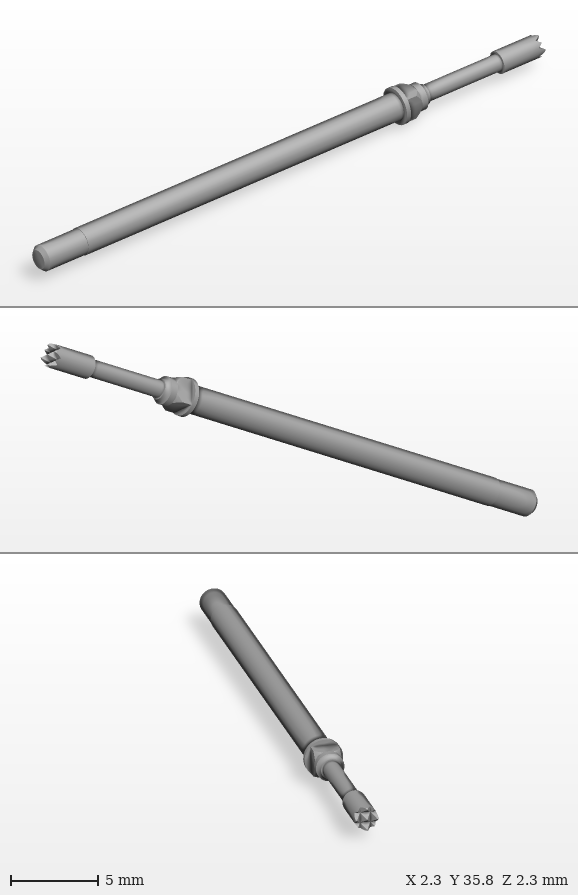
import cadquery as cq
import math


tail_diameter = 1.6
barrel_diameter = 1.7
flange_diameter = 2.3
lip_diameter = 1.25
stem_diameter = 1.05
head_diameter = 1.4

overall_length = 35.8
tail_length = 2.97
flange_rear = 25.5
flange_thickness = 0.3
flange_front = flange_rear + flange_thickness
square_length = 1.05
square_front = flange_front + square_length
lip_rear = 27.25
lip_length = 0.32
lip_front = lip_rear + lip_length
head_length = 3.0
head_rear = overall_length - head_length

tail_chamfer_radial = 0.2
tail_chamfer_length = 0.25

square_side = 1.58
square_cone_angle = 35.0

groove_pitch = 0.6
groove_depth = 0.5
grooves_per_direction = 4

tail_radius = tail_diameter / 2
barrel_radius = barrel_diameter / 2
flange_radius = flange_diameter / 2
lip_radius = lip_diameter / 2
stem_radius = stem_diameter / 2
head_radius = head_diameter / 2


def turn(half_profile):
    """Revolve a closed (station, radius) outline about the probe axis."""
    return half_profile.close().revolve(360, (0, 0, 0), (1, 0, 0))


def turned_body():
    """All round steps; the barrel narrows to the lip in a hollow curve that ends along the axis."""
    lip_drop = barrel_radius - lip_radius
    hollow_radius = (lip_length**2 + lip_drop**2) / (2 * lip_drop)
    half_sweep = math.asin(lip_length / hollow_radius) / 2
    hollow_middle = (
        lip_front - hollow_radius * math.sin(half_sweep),
        lip_radius + hollow_radius * (1 - math.cos(half_sweep)),
    )
    return turn(
        cq.Workplane("YZ")
        .moveTo(0, 0)
        .lineTo(0, tail_radius - tail_chamfer_radial)
        .lineTo(tail_chamfer_length, tail_radius)
        .lineTo(tail_length, tail_radius)
        .lineTo(tail_length, barrel_radius)
        .lineTo(flange_rear, barrel_radius)
        .lineTo(flange_rear, flange_radius)
        .lineTo(flange_front, flange_radius)
        .lineTo(flange_front, square_side / 2)
        .lineTo(square_front, square_side / 2)
        .lineTo(square_front, barrel_radius)
        .lineTo(lip_rear, barrel_radius)
        .threePointArc(hollow_middle, (lip_front, lip_radius))
        .lineTo(lip_front, stem_radius)
        .lineTo(head_rear, stem_radius)
        .lineTo(head_rear, head_radius)
        .lineTo(overall_length, head_radius)
        .lineTo(overall_length, 0)
    )


def press_fit_square():
    """Square block whose corners are limited by the flange diameter and the front cone."""
    cone_length = (flange_radius - barrel_radius) / math.tan(math.radians(square_cone_angle))
    block = (
        cq.Workplane("XZ", origin=(0, square_front, 0))
        .rect(square_side, square_side)
        .extrude(square_length)
    )
    envelope = turn(
        cq.Workplane("YZ")
        .moveTo(flange_front, 0)
        .lineTo(flange_front, flange_radius)
        .lineTo(square_front - cone_length, flange_radius)
        .lineTo(square_front, barrel_radius)
        .lineTo(square_front, 0)
    )
    return block.intersect(envelope)


def cut_crown(body):
    """Cut the V grooves across the head, first along Z and then along X."""
    first_offset = -(grooves_per_direction - 1) / 2 * groove_pitch
    for quarter_turn in (0, 90):
        for index in range(grooves_per_direction):
            offset = first_offset + index * groove_pitch
            groove = (
                cq.Workplane("XY")
                .moveTo(offset - groove_pitch / 2, overall_length)
                .lineTo(offset, overall_length - groove_depth)
                .lineTo(offset + groove_pitch / 2, overall_length)
                .close()
                .extrude(head_diameter, both=True)
                .rotate((0, 0, 0), (0, 1, 0), quarter_turn)
            )
            body = body.cut(groove)
    return body


result = cut_crown(turned_body().union(press_fit_square()))